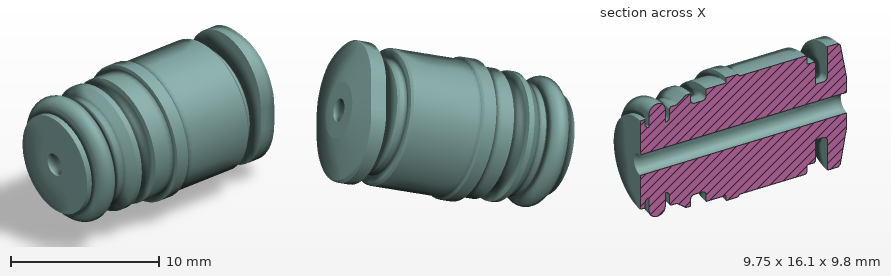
import cadquery as cq

length = 16.1
bore_radius = 1.6 / 2

end_disc_radius = 7.04 / 2
ring_groove_radius = 5.6 / 2
lip_base_radius = 7.84 / 2
lip_radius = 8.94 / 2
lip_groove_radius = 7.25 / 2
flange_radius = 9.75 / 2
body_radius = 9.4 / 2
collar_radius = 8.0 / 2
neck_radius = 4.45 / 2

end_disc_top = 0.4
lip_base_bottom = 2.25
lip_cone_bottom = 2.87
lip_cone_top = 3.56
lip_top = 3.95
shoulder_bottom = 5.12
flange_bottom = 6.68
flange_top = 7.76
body_top = 13.01
collar_top = 13.68
cap_bottom = 14.57

edge_chamfer = 0.15
groove_fillet = 0.29
neck_fillet = 0.34

ring_width = 1.29
ring_side_radius = 7.8 / 2
ring_radius = 8.94 / 2
ring_center = (end_disc_top + lip_base_bottom) / 2

cap_width = 7.84
cap_height = 9.8
crown_flat_radius = 1.93
crown_drop = 0.5
crown_chamfer = 0.2


def disc(radius, bottom, top):
    """Solid cylinder on the Y axis between two Y positions."""
    plane = cq.Workplane("XZ", origin=(0, bottom, 0))
    return plane.circle(radius).extrude(bottom - top)


def groove_floor(radius, bottom, top, fillet):
    """Core of a groove, flaring with a quarter round into both walls."""
    flare = radius + fillet
    return (
        cq.Workplane("XY")
        .moveTo(0, bottom)
        .lineTo(flare, bottom)
        .radiusArc((radius, bottom + fillet), fillet)
        .lineTo(radius, top - fillet)
        .radiusArc((flare, top), fillet)
        .lineTo(0, top)
        .close()
        .revolve(360, (0, 0, 0), (0, 1, 0))
    )


def make_neck():
    """Neck that flares into the underside of the cap."""
    return (
        cq.Workplane("XY")
        .moveTo(0, collar_top)
        .lineTo(neck_radius, collar_top)
        .lineTo(neck_radius, cap_bottom - neck_fillet)
        .radiusArc((neck_radius + neck_fillet, cap_bottom), neck_fillet)
        .lineTo(0, cap_bottom)
        .close()
        .revolve(360, (0, 0, 0), (0, 1, 0))
    )


def make_lip():
    """Disc with a chamfered base that widens through a cone to its rim."""
    return (
        cq.Workplane("XY")
        .moveTo(0, lip_base_bottom)
        .lineTo(lip_base_radius - edge_chamfer, lip_base_bottom)
        .lineTo(lip_base_radius, lip_base_bottom + edge_chamfer)
        .lineTo(lip_base_radius, lip_cone_bottom)
        .lineTo(lip_radius, lip_cone_top)
        .lineTo(lip_radius, lip_top)
        .lineTo(0, lip_top)
        .close()
        .revolve(360, (0, 0, 0), (0, 1, 0))
    )


def make_flange():
    """Flange whose upper edge slopes in to the body radius."""
    flange = disc(flange_radius, flange_bottom, flange_top)
    return flange.faces(">Y").chamfer(flange_radius - body_radius)


def make_ring():
    """Sealing ring seated on the floor of its groove."""
    bottom = ring_center - ring_width / 2
    top = ring_center + ring_width / 2
    return (
        cq.Workplane("XY")
        .moveTo(0, bottom)
        .lineTo(ring_side_radius, bottom)
        .threePointArc((ring_radius, ring_center), (ring_side_radius, top))
        .lineTo(0, top)
        .close()
        .revolve(360, (0, 0, 0), (0, 1, 0))
    )


def make_cap():
    """Oval plate trimmed by a flat-topped cone with a chamfered rim."""
    plate = (
        cq.Workplane("XZ", origin=(0, cap_bottom, 0))
        .slot2D(cap_height, cap_width, 90)
        .extrude(cap_bottom - length)
    )
    rim_radius = cap_height / 2
    crown_edge = length - crown_drop
    crown = (
        cq.Workplane("XY")
        .moveTo(0, cap_bottom)
        .lineTo(rim_radius, cap_bottom)
        .lineTo(rim_radius, crown_edge - crown_chamfer)
        .lineTo(rim_radius - crown_chamfer, crown_edge)
        .lineTo(crown_flat_radius, length)
        .lineTo(0, length)
        .close()
        .revolve(360, (0, 0, 0), (0, 1, 0))
    )
    return plate.intersect(crown)


sections = [
    disc(end_disc_radius, 0, end_disc_top),
    groove_floor(ring_groove_radius, end_disc_top, lip_base_bottom, groove_fillet),
    make_ring(),
    make_lip(),
    groove_floor(lip_groove_radius, lip_top, shoulder_bottom, groove_fillet),
    disc(lip_radius, shoulder_bottom, flange_bottom),
    make_flange(),
    disc(body_radius, flange_top, body_top).faces(">Y").chamfer(edge_chamfer),
    disc(collar_radius, body_top, collar_top).faces(">Y").chamfer(edge_chamfer),
    make_neck(),
    make_cap(),
]

result = sections[0]
for section in sections[1:]:
    result = result.union(section)

result = result.cut(disc(bore_radius, 0, length))